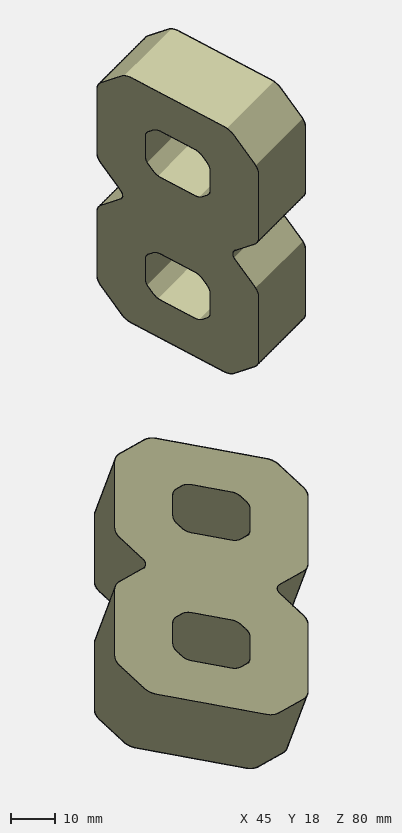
import cadquery as cq

height = 80.0
width = 45.0
thickness = 18.0

loop_height = height / 2
loop_bevel = 8.0
bevel_round = 4.0
waist_round = 2.0

window_width = 18.0
window_height = 15.0
window_bevel = 3.0
window_round = 3.0


def beveled_block(size_x, size_z, bevel):
    """Block running through the full thickness with 45-degree corner cuts."""
    return cq.Workplane("XY").box(size_x, thickness, size_z).edges("|Y").chamfer(bevel)


def at_loop_centers(shape):
    """Place a copy of the shape at the center of each loop."""
    lower = shape.translate((0, 0, -loop_height / 2))
    upper = shape.translate((0, 0, loop_height / 2))
    return lower.union(upper)


def make_body():
    """Two rounded loops joined by a waist whose V notches are rounded at the bottom."""
    loop = beveled_block(width, loop_height, loop_bevel)
    body = at_loop_centers(loop).clean()

    reach = loop_bevel / 2
    waist_zone = cq.selectors.BoxSelector((-width, -thickness, -reach), (width, thickness, reach))
    along_y = cq.selectors.ParallelDirSelector(cq.Vector(0, 1, 0))
    body = body.edges(along_y - waist_zone).fillet(bevel_round)
    return body.edges(along_y & waist_zone).fillet(waist_round)


def make_windows():
    """Cutters for the two windows, with bevels and rounded corners."""
    window = beveled_block(window_width, window_height, window_bevel)
    return at_loop_centers(window.edges("|Y").fillet(window_round))


result = make_body().cut(make_windows())